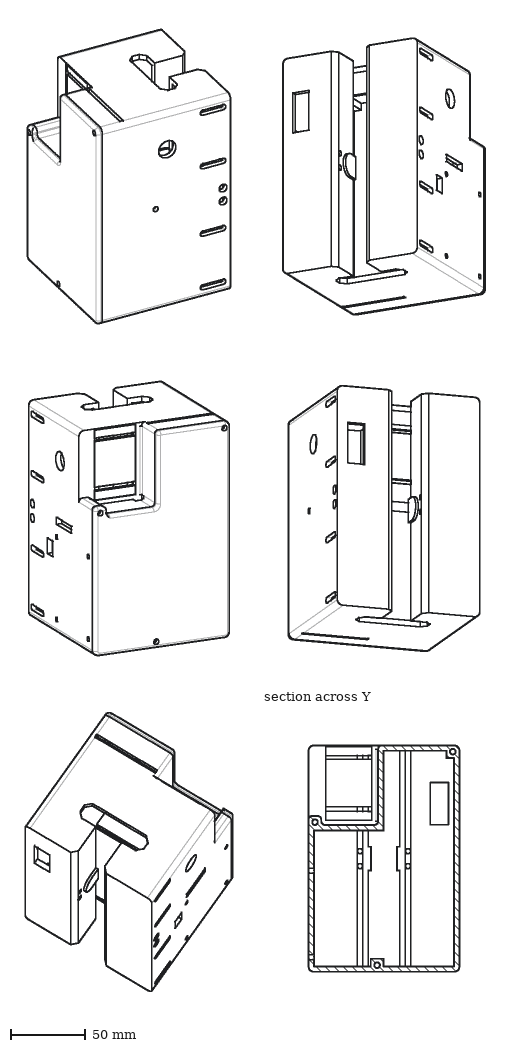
import cadquery as cq
import math

WIDTH = 101.7
DEPTH = 101.7
HEIGHT = 152.4
WALL = 3.8
EDGE_RADIUS = 3.8
COVER_THICKNESS = 3.8
COVER_EDGE_RADIUS = 2.5
MID_X = WIDTH / 2
MID_Z = HEIGHT / 2

NOTCH_RIGHT = 46.8
NOTCH_FLOOR = 98.9
NOTCH_BACK = 24.1
NOTCH_RADIUS = 2.6
LUG_WIDTH = 8.7
LUG_TOP = 105.0
CORNER_FILLET = 1.4
FLOOR_POCKET_LEFT = 40.5
FLOOR_POCKET_FRONT = 20.4

WINDOW_LEFT = 11.7
WINDOW_RIGHT = 42.5
WINDOW_BOTTOM = 102.0
WINDOW_TOP = 151.5
WINDOW_DEPTH = 0.9
WINDOW_SLITS = [(108.0, 111.0), (143.1, 145.5)]

TEE_MOUTH_WIDTH = 21.0
TEE_HEAD_WIDTH = 50.9
TEE_LIP_DEPTH = 25.1
TEE_HEAD_DEPTH = 13.0
TEE_CHAMFER = 3.8
TEE_LIP_Y = DEPTH - TEE_LIP_DEPTH
TEE_HEAD_FRONT = TEE_LIP_Y - TEE_HEAD_DEPTH

PAD_HEIGHT = 1.8
PAD_RADIUS = 8.1
PAD_CENTER_Y = 83.2

PANEL_SLOT_FRONT = 19.2
PANEL_SLOT_BACK = 21.6
PANEL_SLOT_LEFT = 51.2

VENT_LENGTH = 19.2
VENT_HEIGHT = 4.0
VENT_Y = 88.2
VENT_OFFSETS = [26.2, 68.0]
CABLE_HOLE_DIAMETER = 13.0
CABLE_HOLE = (53.3, 123.1)
MOUNT_Y = 95.9
MOUNT_OFFSET = 5.0
MOUNT_ACCESS_DIAMETER = 5.8
MOUNT_HOLE_DIAMETER = 3.5
BOARD_HOLE_DIAMETER = 3.0
BOARD_HOLES = [(y, z) for y in (9.8, 58.7) for z in (10.0, 68.1)]
CARD_SLOT = (35.7, 77.1, 58.7, 82.1)
PORT = (64.8, 52.6, 73.0, 63.5)
FAR_HOLE_DIAMETER = 3.7
FAR_HOLE = (44.5, 79.0)

BACK_OPENING_WIDTH = 12.2
BACK_OPENING_RIGHT = 94.2
BACK_OPENING_BOTTOM = 99.0
BACK_OPENING_TOP = 127.3

SCREW_HOLES = [(4.4, 100.7), (46.2, 4.5), (97.1, 148.1)]
SCREW_DIAMETER = 3.7
SCREW_DEPTH = 12.2
DRILL_POINT_ANGLE = 118.0
SCREW_TIP = SCREW_DIAMETER / 2 / math.tan(math.radians(DRILL_POINT_ANGLE / 2))
POST_SIZE = 8.7
POST_LENGTH = 13.7

PICK_MARGIN = 0.2


def block(low, high):
    """Box between two opposite corners."""
    size = [end - start for start, end in zip(low, high)]
    return cq.Workplane("XY").box(*size, centered=False).translate(low)


def side_cylinder(place, diameter, x_start, x_end):
    """Cylinder along X at the given (y, z)."""
    plane = cq.Workplane("YZ", origin=(x_start, 0, 0)).center(*place)
    return plane.circle(diameter / 2).extrude(x_end - x_start)


def notched_prism(y_front, y_back):
    """Front outline of the case, with the notch and its square-sided lug, between two depths."""
    case = block((0, y_front, 0), (WIDTH, y_back, HEIGHT))
    case = case.edges("|Y").edges(">X or <Z").fillet(EDGE_RADIUS)
    notch = block((0, y_front, NOTCH_FLOOR), (NOTCH_RIGHT, y_back, HEIGHT))
    lug = block((0, y_front, NOTCH_FLOOR), (LUG_WIDTH, y_back, LUG_TOP))
    case = case.cut(notch.cut(lug))
    wall_edges = edges_within(case, (NOTCH_RIGHT, NOTCH_FLOOR), (NOTCH_RIGHT, HEIGHT))
    case = wall_edges.fillet(NOTCH_RADIUS)
    return edges_within(case, (0, LUG_TOP), (0, LUG_TOP)).fillet(NOTCH_RADIUS)


def edges_within(case, low, high):
    """Edges along Y whose (x, z) lies in the given range."""
    region = cq.selectors.BoxSelector(
        (low[0] - PICK_MARGIN, -PICK_MARGIN, low[1] - PICK_MARGIN),
        (high[0] + PICK_MARGIN, DEPTH, high[1] + PICK_MARGIN),
    )
    return case.edges("|Y").edges(region)


def round_lug_side(case):
    """Round the foot and the top of the lug side that faces the notch, straight along Y."""
    case = edges_within(case, (LUG_WIDTH, NOTCH_FLOOR), (LUG_WIDTH, NOTCH_FLOOR)).fillet(NOTCH_RADIUS)
    x_start = LUG_WIDTH - NOTCH_RADIUS
    z_start = LUG_TOP - NOTCH_RADIUS
    corner = block((x_start, 0, z_start), (LUG_WIDTH, NOTCH_BACK, LUG_TOP))
    rounding = cq.Workplane("XZ").center(x_start, z_start).circle(NOTCH_RADIUS).extrude(-NOTCH_BACK)
    return case.cut(corner.cut(rounding))


def screw_holes():
    """Drilled blind holes with pointed ends."""
    radius = SCREW_DIAMETER / 2
    profile = [(0, 0), (radius, 0), (radius, SCREW_DEPTH), (0, SCREW_DEPTH + SCREW_TIP)]
    drill = cq.Workplane("XY").polyline(profile).close().revolve(360, (0, 0), (0, 1))
    return [drill.translate((x, 0, z)) for x, z in SCREW_HOLES]


def make_cover():
    """Plate with rounded front edges, except along the lug side, and screw holes."""
    cover = notched_prism(0, COVER_THICKNESS)
    lug_side = cq.selectors.BoxSelector(
        (LUG_WIDTH - PICK_MARGIN, -PICK_MARGIN, NOTCH_FLOOR),
        (LUG_WIDTH + PICK_MARGIN, PICK_MARGIN, LUG_TOP),
    )
    front_edges = cover.faces("<Y").edges(cq.selectors.InverseSelector(lug_side))
    cover = round_lug_side(front_edges.fillet(COVER_EDGE_RADIUS))
    for hole in screw_holes():
        cover = cover.cut(hole)
    return cover


def outer_shape():
    """Outside of the housing, with the notch at its front."""
    rear = block((0, NOTCH_BACK, 0), (WIDTH, DEPTH, HEIGHT)).edges("|Y").fillet(EDGE_RADIUS)
    front = round_lug_side(notched_prism(COVER_THICKNESS, NOTCH_BACK))
    return rear.union(front).cut(floor_pocket()).union(corner_fillet())


def floor_pocket():
    """Pocket through the notch floor, at the foot of the window wall."""
    return block(
        (FLOOR_POCKET_LEFT, FLOOR_POCKET_FRONT, NOTCH_FLOOR - WALL),
        (NOTCH_RIGHT, NOTCH_BACK, NOTCH_FLOOR + NOTCH_RADIUS),
    )


def corner_fillet():
    """Concave rounding between the window wall and the side wall of the notch."""
    x_start = NOTCH_RIGHT - CORNER_FILLET
    y_start = NOTCH_BACK - CORNER_FILLET
    bottom = NOTCH_FLOOR + NOTCH_RADIUS
    top = HEIGHT - NOTCH_RADIUS
    corner = block((x_start, y_start, bottom), (NOTCH_RIGHT, NOTCH_BACK, top))
    rounding = cq.Workplane("XY", origin=(x_start, y_start, bottom)).circle(CORNER_FILLET)
    return corner.cut(rounding.extrude(top - bottom))


def tee_sleeve():
    """Side walls of the tee mouth, flaring out along its chamfers to the back wall."""
    half_outer = TEE_MOUTH_WIDTH / 2 + WALL
    half_back = half_outer + TEE_CHAMFER
    inner_back = DEPTH - WALL
    plan = [
        (-half_outer, TEE_LIP_Y),
        (half_outer, TEE_LIP_Y),
        (half_outer, inner_back - TEE_CHAMFER),
        (half_back, inner_back),
        (-half_back, inner_back),
        (-half_outer, inner_back - TEE_CHAMFER),
    ]
    return cq.Workplane("XY").polyline(plan).close().extrude(HEIGHT).translate((MID_X, 0, 0))


def tee_slot():
    """Tee-shaped slot with chamfered corners, open at the back, top and bottom."""
    half_mouth = TEE_MOUTH_WIDTH / 2
    half_head = TEE_HEAD_WIDTH / 2
    head = block(
        (MID_X - half_head, TEE_HEAD_FRONT, 0), (MID_X + half_head, TEE_LIP_Y, HEIGHT)
    ).edges("|Z").chamfer(TEE_CHAMFER)
    mouth = [
        (-half_mouth, TEE_LIP_Y),
        (half_mouth, TEE_LIP_Y),
        (half_mouth, DEPTH - TEE_CHAMFER),
        (half_mouth + TEE_CHAMFER, DEPTH),
        (-half_mouth - TEE_CHAMFER, DEPTH),
        (-half_mouth, DEPTH - TEE_CHAMFER),
    ]
    return head.union(cq.Workplane("XY").polyline(mouth).close().extrude(HEIGHT).translate((MID_X, 0, 0)))


def mouth_pads():
    """Pads with a round back end, one on each side of the tee mouth."""
    pads = []
    for x_start in (MID_X - TEE_MOUTH_WIDTH / 2, MID_X + TEE_MOUTH_WIDTH / 2 - PAD_HEIGHT):
        x_end = x_start + PAD_HEIGHT
        pad = block((x_start, TEE_LIP_Y, MID_Z - PAD_RADIUS), (x_end, PAD_CENTER_Y, MID_Z + PAD_RADIUS))
        round_end = side_cylinder((PAD_CENTER_Y, MID_Z), 2 * PAD_RADIUS, x_start, x_end)
        round_end = round_end.intersect(block((x_start, TEE_LIP_Y, 0), (x_end, DEPTH, HEIGHT)))
        pads.append(pad.union(round_end))
    return pads


def cavity():
    """Inside of the housing, open toward the cover."""
    rear_start = NOTCH_BACK + WALL
    inside = block((WALL, COVER_THICKNESS, WALL), (WIDTH - WALL, DEPTH - WALL, HEIGHT - WALL))
    notch_walls = block(
        (0, COVER_THICKNESS, NOTCH_FLOOR - WALL), (NOTCH_RIGHT + WALL, rear_start, HEIGHT)
    )
    inside = inside.cut(notch_walls).cut(tee_sleeve())
    for x, z in SCREW_HOLES:
        inside = inside.cut(screw_post(x, z))
    return inside


def screw_post(x, z):
    """Square post around a screw hole, behind the cover."""
    half = POST_SIZE / 2
    return block(
        (x - half, COVER_THICKNESS, z - half), (x + half, COVER_THICKNESS + POST_LENGTH, z + half)
    )


def window_cuts():
    """Window recess with its slits."""
    cuts = [
        block(
            (WINDOW_LEFT, NOTCH_BACK, WINDOW_BOTTOM),
            (WINDOW_RIGHT, NOTCH_BACK + WINDOW_DEPTH, WINDOW_TOP),
        ),
    ]
    for bottom, top in WINDOW_SLITS:
        cuts.append(block((WINDOW_LEFT, NOTCH_BACK, bottom), (WINDOW_RIGHT, NOTCH_BACK + WALL, top)))
    return cuts


def side_cuts():
    """Openings through the side walls."""
    cuts = [side_cylinder(CABLE_HOLE, CABLE_HOLE_DIAMETER, 0, WIDTH)]
    for offset in VENT_OFFSETS:
        for z in (MID_Z - offset, MID_Z + offset):
            for x in (0, WIDTH - WALL):
                slot = cq.Workplane("YZ").slot2D(VENT_LENGTH, VENT_HEIGHT).extrude(WALL)
                cuts.append(slot.translate((x, VENT_Y, z)))
    for z in (MID_Z - MOUNT_OFFSET, MID_Z + MOUNT_OFFSET):
        cuts.append(side_cylinder((MOUNT_Y, z), MOUNT_HOLE_DIAMETER, 0, WIDTH))
        for x in (0, WIDTH - WALL):
            cuts.append(side_cylinder((MOUNT_Y, z), MOUNT_ACCESS_DIAMETER, x, x + WALL))
    for place in BOARD_HOLES:
        cuts.append(side_cylinder(place, BOARD_HOLE_DIAMETER, 0, WALL))
    for y_low, z_low, y_high, z_high in (CARD_SLOT, PORT):
        cuts.append(block((0, y_low, z_low), (WALL, y_high, z_high)))
    cuts.append(side_cylinder(FAR_HOLE, FAR_HOLE_DIAMETER, WIDTH - WALL, WIDTH))
    return cuts


def panel_slot():
    """Narrow slot through the top and the bottom, between the notch wall and the +X wall."""
    right = WIDTH - WALL
    through = block((PANEL_SLOT_LEFT, PANEL_SLOT_FRONT, 0), (right, PANEL_SLOT_BACK, HEIGHT))
    top_left = NOTCH_RIGHT + NOTCH_RADIUS
    top = block((top_left, PANEL_SLOT_FRONT, HEIGHT - WALL), (right, PANEL_SLOT_BACK, HEIGHT))
    return through.union(top)


def back_opening():
    """Rectangular opening through the back wall."""
    return block(
        (BACK_OPENING_RIGHT - BACK_OPENING_WIDTH, DEPTH - WALL, BACK_OPENING_BOTTOM),
        (BACK_OPENING_RIGHT, DEPTH, BACK_OPENING_TOP),
    )


def make_housing():
    """Hollow case behind the cover, with the tee slot and all openings."""
    housing = outer_shape().cut(cavity()).cut(tee_slot())
    for pad in mouth_pads():
        housing = housing.union(pad)
    cuts = [*window_cuts(), *side_cuts(), *screw_holes(), panel_slot(), back_opening()]
    for cut in cuts:
        housing = housing.cut(cut)
    return housing


cover = make_cover()
housing = make_housing()
result = cq.Compound.makeCompound([cover.solids().val(), housing.solids().val()])